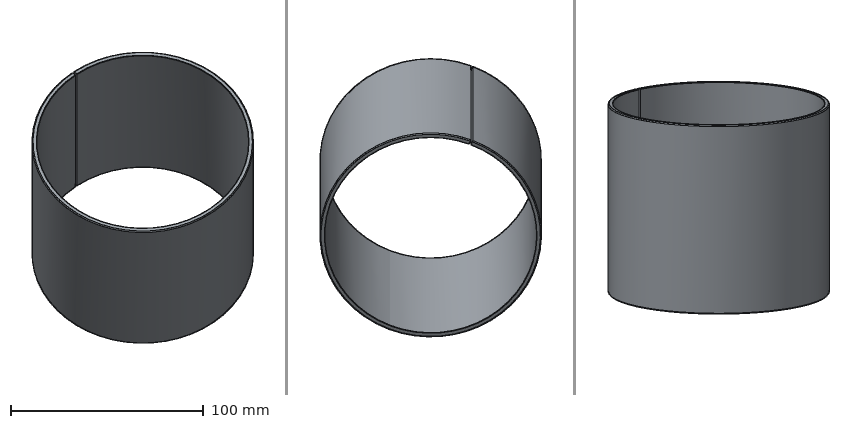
import cadquery as cq

outer_diameter = 115.0
height = 100.0
wall_thickness = 2.5
outer_chamfer = 0.6
inner_chamfer = 0.2
slit_width = 1.0

outer_radius = outer_diameter / 2
inner_radius = outer_radius - wall_thickness


def chamfered_cylinder(radius, chamfer_size):
    """Solid cylinder whose end rims are chamfered inward."""
    cylinder = cq.Workplane("XY").circle(radius).extrude(height)
    return cylinder.faces("<Z or >Z").edges().chamfer(chamfer_size)


def bore_cutter():
    """Bore that widens at both ends to leave chamfered inner rims."""
    mouth_radius = inner_radius + inner_chamfer
    profile = [
        (0, 0),
        (mouth_radius, 0),
        (inner_radius, inner_chamfer),
        (inner_radius, height - inner_chamfer),
        (mouth_radius, height),
        (0, height),
    ]
    return cq.Workplane("XZ").polyline(profile).close().revolve(360, (0, 0), (0, 1))


def slit_cutter():
    """Full-height block through the -X wall, with one side on the XZ plane."""
    block = cq.Workplane("XY").box(outer_radius, slit_width, height, centered=False)
    return block.translate((-outer_radius, 0, 0))


tube = chamfered_cylinder(outer_radius, outer_chamfer).cut(bore_cutter())
result = tube.cut(slit_cutter())